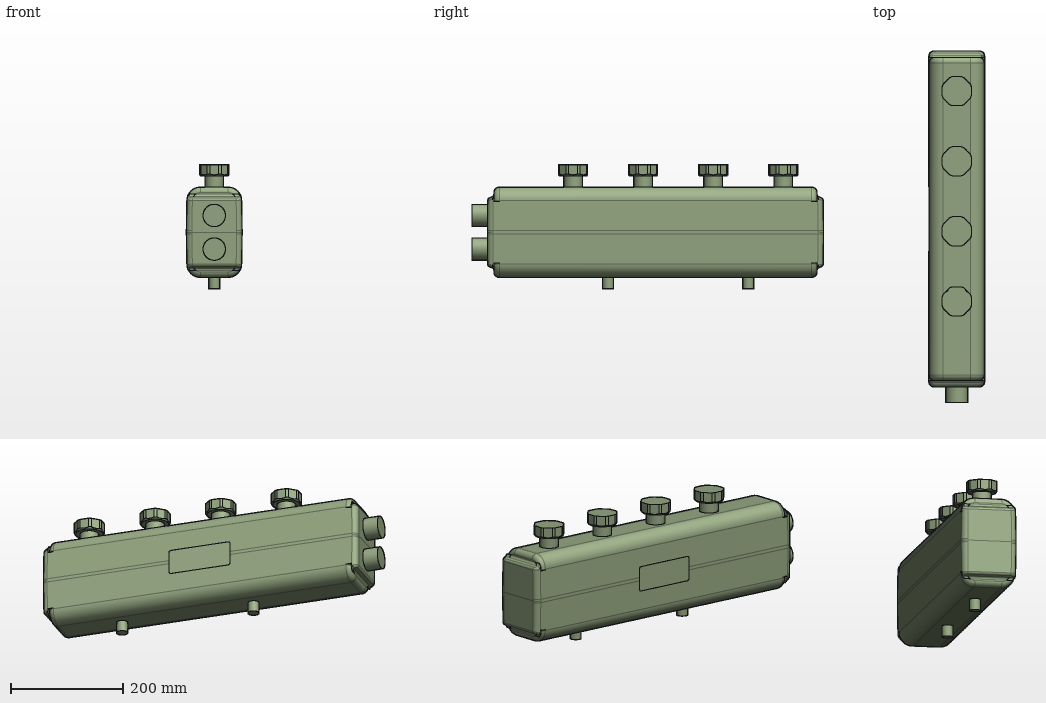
import cadquery as cq
import math

SHELL_WIDTH = 100.0
SHELL_LENGTH = 600.0
SHELL_HEIGHT = 161.5
PARTING_BAND_HEIGHT = 6.0
SIDE_DRAFT = math.radians(1.0)
LONG_EDGE_RADIUS = 24.5

PANEL_PROJECTION = 11.5
END_EDGE_RADIUS = 10.0
PANEL_CORNER_RADIUS = 10.0
PANEL_BLEND_RADIUS = 5.0
PANEL_LEDGE_ANGLE = math.radians(22.5)
PANEL_RIM_HALF_HEIGHT = 60.0
END_DRAFT = math.radians(0.5)
END_ZONE_MARGIN = 1.0

PLATE_LENGTH = 116.0
PLATE_HEIGHT = 45.0
PLATE_CORNER_RADIUS = 4.0
PLATE_DEPTH = 0.5

OUTLET_COUNT = 4
OUTLET_PITCH = 125.0
OUTLET_END_MARGIN = 72.0
OUTLET_HEIGHT = 40.0
NECK_DIAMETER = 33.7
CAP_HEIGHT = 20.0
CAP_ACROSS_FLATS = 52.0
CAP_DIAMETER = 54.4
CAP_SIDES = 8
CAP_CHAMFER_HEIGHT = 3.2
CAP_CHAMFER_INSET = 2.7

STUD_DIAMETER = 20.0
STUD_LENGTH = 20.0
STUD_OUTLET_PAIRS = ((0, 1), (2, 3))

PIPE_DIAMETER = 40.0
PIPE_LENGTH = 27.5
PIPE_SPACING = 60.0

half_width = SHELL_WIDTH / 2
half_length = SHELL_LENGTH / 2
half_height = SHELL_HEIGHT / 2
half_band = PARTING_BAND_HEIGHT / 2
main_half_length = half_length - PANEL_PROJECTION


def drafted_prism(length):
    """Full-height prism along Y with drafted sides above and below the parting band."""
    half_edge = half_width - (half_height - half_band) * math.tan(SIDE_DRAFT)
    outline = [
        (half_edge, -half_height),
        (half_width, -half_band),
        (half_width, half_band),
        (half_edge, half_height),
        (-half_edge, half_height),
        (-half_width, half_band),
        (-half_width, -half_band),
        (-half_edge, -half_height),
    ]
    return cq.Workplane("XZ").polyline(outline).close().extrude(length / 2, both=True)


def rounded_prism(length):
    """Full-height drafted prism with rounded long edges."""
    return drafted_prism(length).faces("<Z or >Z").edges("|Y").fillet(LONG_EDGE_RADIUS)


def make_main_shell():
    """Long body with rounded long edges and rounded end rims."""
    body = rounded_prism(2 * main_half_length)
    return body.faces("<Y or >Y").edges().fillet(END_EDGE_RADIUS)


def end_zone(y):
    """Selector for everything lying close to the end plane at the given Y."""
    return cq.selectors.BoxSelector(
        (-SHELL_WIDTH, y - END_ZONE_MARGIN, -SHELL_HEIGHT),
        (SHELL_WIDTH, y + END_ZONE_MARGIN, SHELL_HEIGHT),
    )


def make_end_panels():
    """Full-width core whose ends form the panels, blended into the main shell by sloping ledges."""
    slope = math.tan(PANEL_LEDGE_ANGLE)
    arc_depth = PANEL_BLEND_RADIUS * (1 - math.sin(PANEL_LEDGE_ANGLE))
    arc_rise = PANEL_BLEND_RADIUS * math.cos(PANEL_LEDGE_ANGLE)
    arc_middle = (math.pi / 2 + PANEL_LEDGE_ANGLE) / 2
    middle_depth = PANEL_BLEND_RADIUS * (1 - math.sin(arc_middle))
    middle_rise = PANEL_BLEND_RADIUS * math.cos(arc_middle)

    ledge_outer_z = PANEL_RIM_HALF_HEIGHT
    ledge_inner_z = ledge_outer_z + (PANEL_PROJECTION - arc_depth) * slope
    top_z = ledge_inner_z + arc_rise
    face_y = half_length - ledge_outer_z * math.tan(END_DRAFT)

    quarter = (
        cq.Workplane("YZ")
        .moveTo(0, 0)
        .lineTo(half_length, 0)
        .lineTo(face_y, ledge_outer_z)
        .lineTo(main_half_length + arc_depth, ledge_inner_z)
        .threePointArc(
            (main_half_length + middle_depth, top_z - middle_rise),
            (main_half_length, top_z),
        )
        .lineTo(main_half_length, ledge_outer_z - PANEL_BLEND_RADIUS)
        .lineTo(0, ledge_outer_z - PANEL_BLEND_RADIUS)
        .close()
        .extrude(half_width, both=True)
    )
    upper = quarter.union(quarter.mirror("XZ"))
    profile = upper.union(upper.mirror("XY"))
    panels = profile.intersect(drafted_prism(SHELL_LENGTH))
    near_end_faces = end_zone(half_length) + end_zone(-half_length)
    panels = panels.edges(near_end_faces).edges("not |X").fillet(PANEL_CORNER_RADIUS)
    panels = panels.edges(near_end_faces).edges("|X").edges("<Z or >Z").fillet(PANEL_BLEND_RADIUS)
    return panels.intersect(rounded_prism(SHELL_LENGTH))


def make_plate_recess():
    """Cutter for the shallow rounded name plate recess."""
    floor_x = -half_width + PLATE_DEPTH
    return (
        cq.Workplane("YZ", origin=(floor_x, 0, 0))
        .rect(PLATE_LENGTH, PLATE_HEIGHT)
        .extrude(-half_width)
        .edges("|X")
        .fillet(PLATE_CORNER_RADIUS)
    )


def make_outlet(y):
    """Neck with an octagonal cap whose corners are turned round and underside chamfered."""
    cap_z = half_height + OUTLET_HEIGHT - CAP_HEIGHT
    neck = cq.Workplane("XY", origin=(0, y, 0)).circle(NECK_DIAMETER / 2).extrude(cap_z)
    half_sector = 180 / CAP_SIDES
    corner_diameter = CAP_ACROSS_FLATS / math.cos(math.radians(half_sector))
    octagon = (
        cq.Workplane("XY")
        .polygon(CAP_SIDES, corner_diameter)
        .extrude(CAP_HEIGHT)
        .rotate((0, 0, 0), (0, 0, 1), half_sector)
    )
    turned_blank = cq.Workplane("XY").circle(CAP_DIAMETER / 2).extrude(CAP_HEIGHT)
    turned_blank = turned_blank.faces("<Z").chamfer(CAP_CHAMFER_HEIGHT, CAP_CHAMFER_INSET)
    cap = octagon.intersect(turned_blank)
    return neck.union(cap.translate((0, y, cap_z)))


def make_stud(y):
    """Short round stud under the shell."""
    bottom_z = -half_height - STUD_LENGTH
    return cq.Workplane("XY", origin=(0, y, bottom_z)).circle(STUD_DIAMETER / 2).extrude(-bottom_z)


def make_pipe(z):
    """Connection pipe leaving the -Y end."""
    root_y = -main_half_length
    reach = PANEL_PROJECTION + PIPE_LENGTH
    return cq.Workplane("XZ", origin=(0, root_y, z)).circle(PIPE_DIAMETER / 2).extrude(reach)


first_outlet_y = half_length - OUTLET_END_MARGIN
outlet_ys = [first_outlet_y - i * OUTLET_PITCH for i in range(OUTLET_COUNT)]

result = make_main_shell().union(make_end_panels()).cut(make_plate_recess())
for outlet_y in outlet_ys:
    result = result.union(make_outlet(outlet_y))
for first, second in STUD_OUTLET_PAIRS:
    result = result.union(make_stud((outlet_ys[first] + outlet_ys[second]) / 2))
for pipe_z in (-PIPE_SPACING / 2, PIPE_SPACING / 2):
    result = result.union(make_pipe(pipe_z))